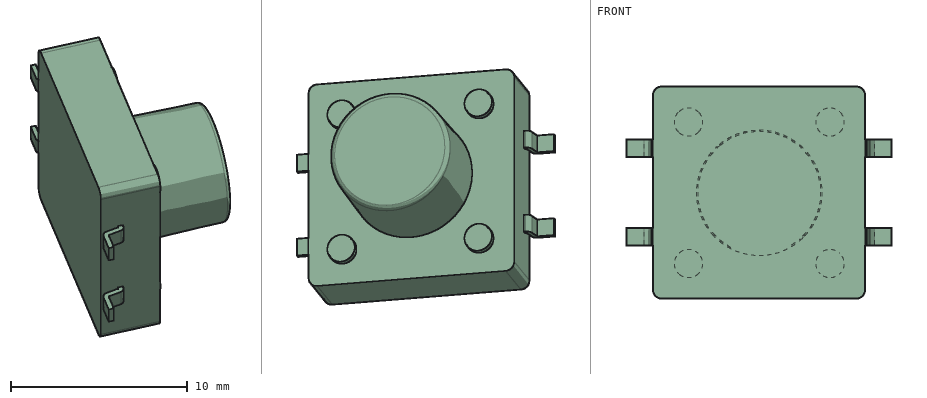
import cadquery as cq
import math


housing_side = 12.0
housing_height = 3.5
housing_corner_radius = 0.5

peg_diameter = 1.6
peg_height = 0.4
peg_spacing = 8.0

total_height = 8.5
button_height = total_height - housing_height
button_base_radius = 3.55
button_draft = 1.0
button_edge_radius = 0.25

lead_span = 15.0
lead_width = 1.0
lead_thickness = 0.3
lead_height = 1.3
lead_foot_length = 0.98
lead_lean = math.radians(10.0)
lead_spacing = 5.0


def make_lead(z_center):
    """Lead on the +X side: a flat foot, a leaning leg and a short shoulder that meets the housing.

    The thickness is constant. Each bend is sharp inside and round outside, with its arc
    centred on the inner corner.
    """
    tip_x = lead_span / 2
    wall_x = housing_side / 2

    across_x = lead_thickness * math.cos(lead_lean)
    across_y = lead_thickness * math.sin(lead_lean)

    foot_x = tip_x - lead_foot_length
    foot_y = lead_thickness
    shoulder_y = lead_height - lead_thickness
    leg_rise = shoulder_y + across_y - foot_y
    shoulder_x = foot_x - leg_rise * math.tan(lead_lean) - across_x

    arc_middle_angle = (lead_lean + math.pi / 2) / 2
    middle_x = lead_thickness * math.cos(arc_middle_angle)
    middle_y = lead_thickness * math.sin(arc_middle_angle)

    return (
        cq.Workplane("XY", origin=(0, 0, z_center))
        .moveTo(tip_x, 0)
        .lineTo(tip_x, lead_thickness)
        .lineTo(foot_x, foot_y)
        .lineTo(shoulder_x + across_x, shoulder_y + across_y)
        .threePointArc((shoulder_x + middle_x, shoulder_y + middle_y), (shoulder_x, lead_height))
        .lineTo(wall_x, lead_height)
        .lineTo(wall_x, shoulder_y)
        .lineTo(shoulder_x, shoulder_y)
        .lineTo(foot_x - across_x, foot_y - across_y)
        .threePointArc((foot_x - middle_x, foot_y - middle_y), (foot_x, 0))
        .close()
        .extrude(lead_width / 2, both=True)
    )


def make_housing():
    """Square housing with its locating pegs and its four fixed leads, as one solid."""
    body = (
        cq.Workplane("ZX")
        .rect(housing_side, housing_side)
        .extrude(housing_height)
        .edges("|Y")
        .fillet(housing_corner_radius)
    )
    pegs = (
        cq.Workplane("ZX", origin=(0, housing_height, 0))
        .rect(peg_spacing, peg_spacing, forConstruction=True)
        .vertices()
        .circle(peg_diameter / 2)
        .extrude(peg_height)
    )
    body = body.union(pegs)
    for z_center in (-lead_spacing / 2, lead_spacing / 2):
        lead = make_lead(z_center)
        body = body.union(lead).union(lead.mirror("YZ"))
    return body


def make_button():
    """Round button that tapers towards its rounded top edge and stands on the housing."""
    return (
        cq.Workplane("ZX", origin=(0, housing_height, 0))
        .circle(button_base_radius)
        .extrude(button_height, taper=button_draft)
        .faces(">Y")
        .edges()
        .fillet(button_edge_radius)
    )


housing = make_housing()
button = make_button()

result = cq.Compound.makeCompound([housing.solids().val(), button.solids().val()])